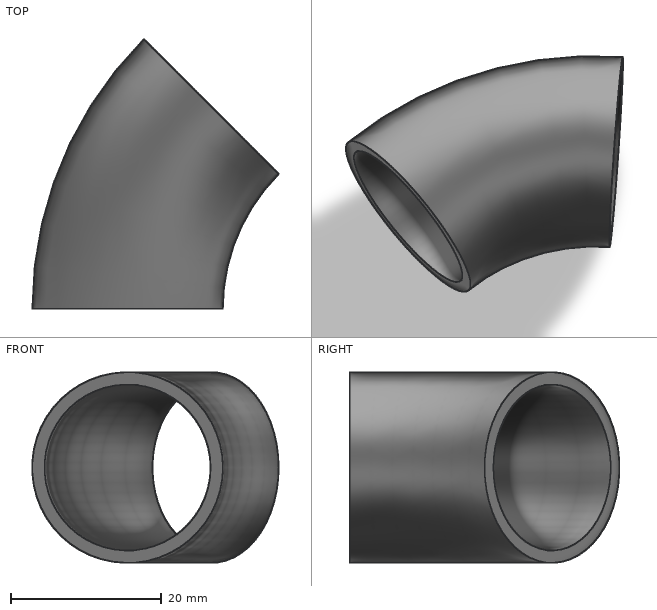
import cadquery as cq
import math

overall_length = 35.92
bend_angle = 45.0
bend_ratio = 1.5
wall = 1.65

outer_bend_radius = overall_length / math.sin(math.radians(bend_angle))
outer_diameter = outer_bend_radius / (bend_ratio + 0.5)
bend_radius = bend_ratio * outer_diameter
inner_diameter = outer_diameter - 2 * wall


def tube_section():
    """Ring at the inlet, in the XZ plane and centred on the tube axis."""
    return cq.Workplane("XZ").circle(outer_diameter / 2).circle(inner_diameter / 2)


result = tube_section().revolve(bend_angle, (bend_radius, 0, 0), (bend_radius, -1, 0))